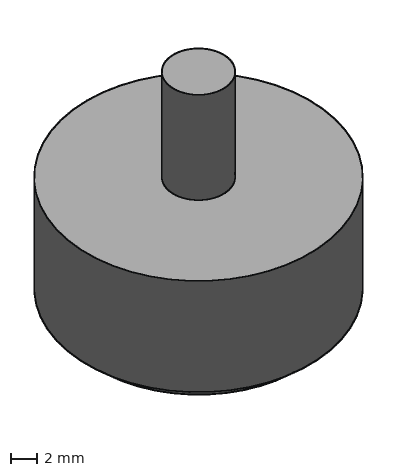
import cadquery as cq

total_height = 26.1
body_diameter = 25.1
stem_diameter = 5.6
stem_length = 10.4
chamfer_size = 1.44
tip_height = 3.31

body_radius = body_diameter / 2
stem_radius = stem_diameter / 2
tip_radius = body_radius - chamfer_size
rim_z = tip_height + chamfer_size
shoulder_z = total_height - stem_length

half_profile = (
    cq.Workplane("XZ")
    .moveTo(0, 0)
    .lineTo(tip_radius, tip_height)
    .lineTo(body_radius, rim_z)
    .lineTo(body_radius, shoulder_z)
    .lineTo(stem_radius, shoulder_z)
    .lineTo(stem_radius, total_height)
    .lineTo(0, total_height)
    .close()
)

result = half_profile.revolve(360, (0, 0, 0), (0, 1, 0))